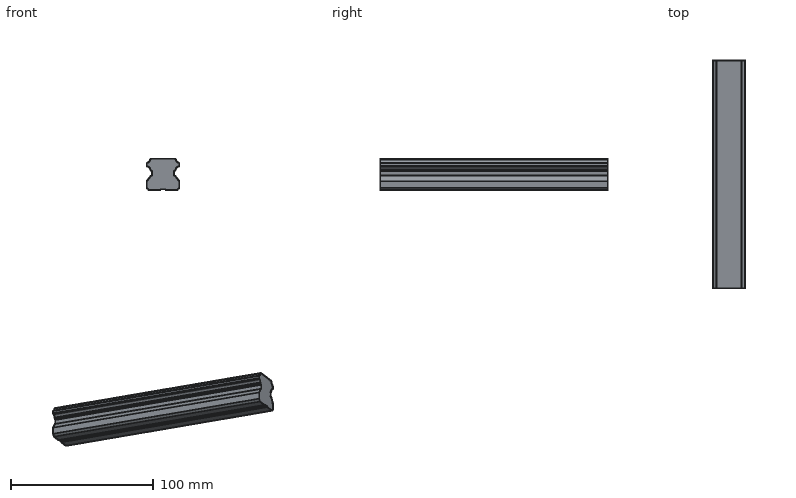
import cadquery as cq

length = 160.0
width = 23.0
height = 22.0
half_width = width / 2

top_half_width = 8.5
edge_chamfer = 0.6
groove_sag = 0.5
groove_bottom_half_width = 9.1
groove_bottom_depth = 7.4
lip_top_depth = 2.7
lip_bottom_depth = 5.6
lip_corner = 0.6
lip_land_width = 0.3
lip_land_drop = 0.2

waist_half_width = 7.8
waist_top_depth = 8.8
waist_bottom_depth = 11.7
waist_bevel_width = 0.8
waist_bevel_height = 0.5

base_top_depth = 15.8
base_chamfer = 1.6
relief_half_width = 2.0
relief_height = 0.5


def groove_middle(start, end, toward_x, toward_z):
    """Middle of a groove arc, pushed from the chord into the rail at 45 degrees."""
    offset = groove_sag / 2**0.5
    return (
        (start[0] + end[0]) / 2 + toward_x * offset,
        (start[1] + end[1]) / 2 + toward_z * offset,
    )


def depth(distance):
    """Height of a point that lies the given distance below the top face."""
    return height - distance


upper_start = (top_half_width + edge_chamfer, depth(edge_chamfer))
upper_end = (half_width - lip_corner, depth(lip_top_depth))
lower_start = (half_width - lip_corner, depth(lip_bottom_depth))
lower_end = (groove_bottom_half_width, depth(groove_bottom_depth))

lip_land_x = half_width - lip_corner + lip_land_width

waist_bevel_x = waist_half_width + waist_bevel_width

half_section = (
    cq.Workplane("XZ")
    .moveTo(0, height)
    .lineTo(top_half_width, height)
    .lineTo(*upper_start)
    .threePointArc(groove_middle(upper_start, upper_end, -1, -1), upper_end)
    .lineTo(lip_land_x, depth(lip_top_depth + lip_land_drop))
    .lineTo(half_width, depth(lip_top_depth + lip_corner))
    .lineTo(half_width, depth(lip_bottom_depth - lip_corner))
    .lineTo(lip_land_x, depth(lip_bottom_depth - lip_land_drop))
    .lineTo(*lower_start)
    .threePointArc(groove_middle(lower_start, lower_end, -1, 1), lower_end)
    .lineTo(waist_bevel_x, depth(waist_top_depth - waist_bevel_height))
    .lineTo(waist_half_width, depth(waist_top_depth))
    .lineTo(waist_half_width, depth(waist_bottom_depth))
    .lineTo(waist_bevel_x, depth(waist_bottom_depth + waist_bevel_height))
    .lineTo(half_width, depth(base_top_depth))
    .lineTo(half_width, base_chamfer)
    .lineTo(half_width - base_chamfer, 0)
    .lineTo(relief_half_width, 0)
    .lineTo(relief_half_width - relief_height, relief_height)
    .lineTo(0, relief_height)
    .close()
)

half_rail = half_section.extrude(-length)
result = half_rail.union(half_rail.mirror("YZ")).clean()